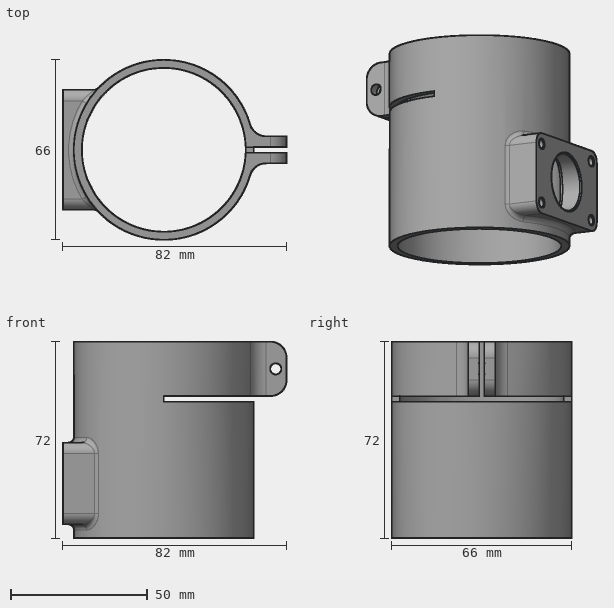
import cadquery as cq
import math

tube_diameter = 66.0
bore_diameter = 60.0
tube_height = 72.0
tube_radius = tube_diameter / 2
bore_radius = bore_diameter / 2

ear_end_x = 45.0
ear_height = 20.0
ears_width = 10.0
ear_blend_radius = 6.0
ear_corner_radius = 6.0
ear_hole_diameter = 4.0
ear_hole_inset = 4.0
ear_bottom = tube_height - ear_height

clamp_gap = 2.0
ring_slit_height = 2.0

block_face_x = -37.0
block_width = 44.0
block_height = 30.0
block_bottom = 5.0
block_corner_radius = 4.0
block_blend_radius = 2.0
block_center_z = block_bottom + block_height / 2

port_diameter = 21.0
port_chamfer = 0.5
port_inner_chamfer_depth = 1.0
port_inner_chamfer_width = 0.5
screw_diameter = 3.3
screw_chamfer = 0.37
screw_spacing_y = 36.0
screw_spacing_z = 22.0


def make_body():
    """Solid cylinder with the block blended into its side."""
    cylinder = cq.Workplane("XY").circle(tube_radius).extrude(tube_height)
    block = (
        cq.Workplane("YZ", origin=(block_face_x, 0, block_center_z))
        .rect(block_width, block_height)
        .extrude(-block_face_x)
        .edges("|X")
        .fillet(block_corner_radius)
    )
    margin = 0.8
    seam_box = cq.selectors.BoxSelector(
        (block_face_x + margin, -block_width / 2 - margin, block_bottom - margin),
        (-margin, block_width / 2 + margin, block_bottom + block_height + margin),
        boundingbox=True,
    )
    return cylinder.union(block).edges(seam_box).fillet(block_blend_radius)


def make_ears():
    """Both ears as one piece, with concave blends onto the tube."""
    half_width = ears_width / 2
    blend_y = half_width + ear_blend_radius
    blend_x = math.sqrt((tube_radius + ear_blend_radius) ** 2 - blend_y**2)
    blend_angle = math.atan2(blend_y, blend_x)
    touch_x = tube_radius * math.cos(blend_angle)
    touch_y = tube_radius * math.sin(blend_angle)
    mid_angle = (blend_angle + math.pi + 1.5 * math.pi) / 2
    mid_x = blend_x + ear_blend_radius * math.cos(mid_angle)
    mid_y = blend_y + ear_blend_radius * math.sin(mid_angle)
    return (
        cq.Workplane("XY", origin=(0, 0, ear_bottom))
        .lineTo(touch_x, touch_y)
        .threePointArc((mid_x, mid_y), (blend_x, half_width))
        .lineTo(ear_end_x, half_width)
        .lineTo(ear_end_x, -half_width)
        .lineTo(blend_x, -half_width)
        .threePointArc((mid_x, -mid_y), (touch_x, -touch_y))
        .close()
        .extrude(ear_height)
        .faces(">X")
        .edges("|Y")
        .fillet(ear_corner_radius)
    )


def chamfered_hole(diameter, chamfer, y, z):
    """Hole from the block face into the bore, chamfered at its mouth."""
    hole = (
        cq.Workplane("YZ", origin=(block_face_x, y, z))
        .circle(diameter / 2)
        .extrude(-block_face_x)
    )
    mouth = (
        cq.Workplane("YZ", origin=(block_face_x, y, z))
        .circle(diameter / 2 + chamfer)
        .workplane(offset=chamfer)
        .circle(diameter / 2)
        .loft(ruled=True)
    )
    return hole.union(mouth)


result = make_body().union(make_ears())

result = result.cut(cq.Workplane("XY").circle(bore_radius).extrude(tube_height))

result = result.cut(
    cq.Workplane("XY", origin=(0, 0, ear_bottom))
    .box(ear_end_x, clamp_gap, ear_height, centered=(False, True, False))
)

result = result.cut(
    cq.Workplane("XY", origin=(0, 0, ear_bottom - ring_slit_height))
    .box(ear_end_x, tube_diameter, ring_slit_height, centered=(False, True, False))
)

result = result.cut(
    cq.Workplane("XZ", origin=(ear_end_x - ear_hole_inset, 0, ear_bottom + ear_height / 2))
    .circle(ear_hole_diameter / 2)
    .extrude(ears_width / 2, both=True)
)

result = result.cut(chamfered_hole(port_diameter, port_chamfer, 0, block_center_z))

port_inner_edge = cq.selectors.BoxSelector(
    (-tube_radius, -port_diameter / 2 - port_inner_chamfer_width, block_bottom),
    (-bore_radius / 2, port_diameter / 2 + port_inner_chamfer_width, block_bottom + block_height),
    boundingbox=True,
)
result = result.edges(port_inner_edge).chamfer(port_inner_chamfer_width, port_inner_chamfer_depth)

for side_y in (-1, 1):
    for side_z in (-1, 1):
        screw_y = side_y * screw_spacing_y / 2
        screw_z = block_center_z + side_z * screw_spacing_z / 2
        result = result.cut(chamfered_hole(screw_diameter, screw_chamfer, screw_y, screw_z))